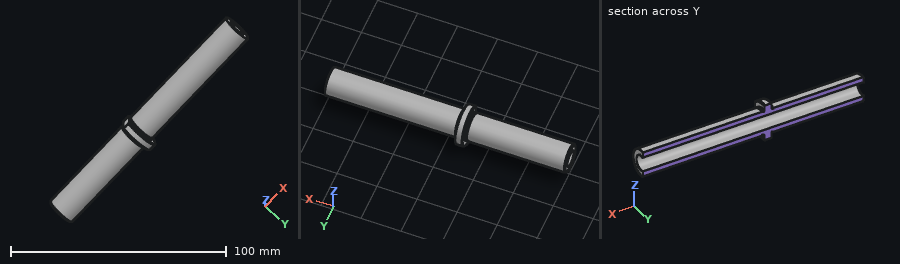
import cadquery as cq

length = 120.0
tube_diameter = 14.0
bore_diameter = 8.0
collar_diameter = 19.9
collar_start = 50.0
collar_width = 4.0
collar_chamfer = 0.4
groove_diameter = 13.3
groove_width = 1.0
end_chamfer_length = 0.5
end_chamfer_depth = 0.6
root_chamfer = 0.5

tube_radius = tube_diameter / 2
collar_radius = collar_diameter / 2
collar_end = collar_start + collar_width


def revolve_about_x(profile):
    """Full turn about the tube axis of a closed (x, radius) sketch."""
    return profile.close().revolve(360, (0, 0, 0), (1, 0, 0))


def tube():
    """Solid rod with its x = 0 rim chamfered."""
    profile = cq.Workplane("XY").polyline([
        (0, 0),
        (0, tube_radius - end_chamfer_depth),
        (end_chamfer_length, tube_radius),
        (length, tube_radius),
        (length, 0),
    ])
    return revolve_about_x(profile)


def relief_groove(collar_face, direction):
    """Square-walled ring cut into the tube beside a collar face."""
    outer_edge = collar_face + direction * groove_width
    profile = [
        (collar_face, groove_diameter / 2),
        (outer_edge, groove_diameter / 2),
        (outer_edge, tube_radius),
        (collar_face, tube_radius),
    ]
    return revolve_about_x(cq.Workplane("XY").polyline(profile))


def collar_root(collar_face, direction):
    """Conical ring rising at 45 degrees from the groove floor to the collar face."""
    floor = groove_diameter / 2
    toe = collar_face + direction * root_chamfer
    profile = [
        (collar_face, bore_diameter / 2),
        (toe, bore_diameter / 2),
        (toe, floor),
        (collar_face, floor + root_chamfer),
    ]
    return revolve_about_x(cq.Workplane("XY").polyline(profile))


def collar():
    """Chamfered disc."""
    disc = cq.Workplane("YZ", origin=(collar_start, 0, 0)).circle(collar_radius).extrude(collar_width)
    return disc.edges().chamfer(collar_chamfer)


result = tube()
for face, direction in ((collar_start, -1), (collar_end, 1)):
    result = result.cut(relief_groove(face, direction))
    result = result.union(collar_root(face, direction))
result = result.union(collar())

flat_cutter = cq.Workplane("XY").box(
    length, collar_radius, collar_diameter, centered=(False, False, True)
)
result = result.cut(flat_cutter.translate((0, -tube_radius - collar_radius, 0)))

bore = cq.Workplane("YZ").circle(bore_diameter / 2).extrude(length)
result = result.cut(bore)